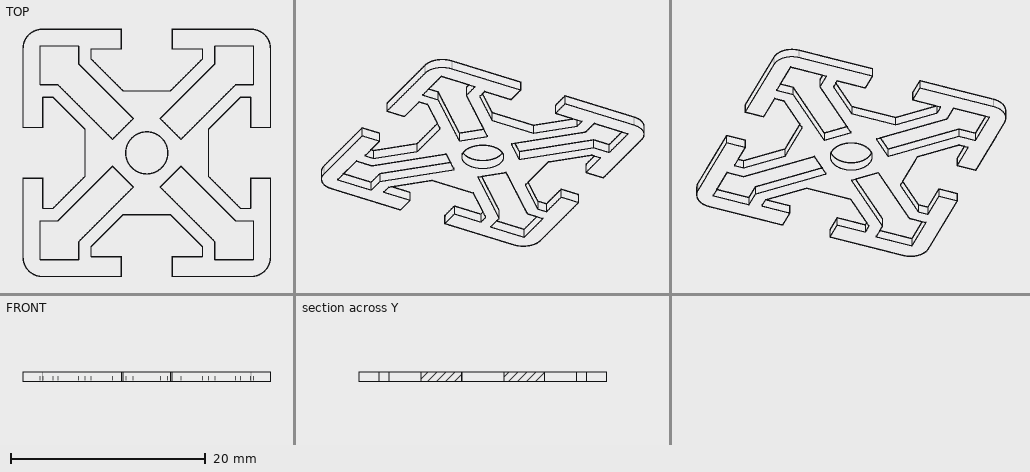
import cadquery as cq
import math

side = 25.4
thickness = 1.0
corner_radius = 2.0
bore_diameter = 4.3

slot_opening = 5.2
lip_thickness = 2.05
slot_inner_width = 11.4
core_width = 12.7

outer_wall = 1.75
hollow_side = 3.95
channel_width = 3.0
channel_end_distance = 3.47
rib_thickness = 1.28

half_side = side / 2
lip_inner_face = half_side - lip_thickness
hollow_outer = half_side - outer_wall
hollow_inner = hollow_outer - hollow_side
channel_offset = channel_width / 2 * math.sqrt(2)
rib_offset = (channel_width / 2 + rib_thickness) * math.sqrt(2)


def square_plate():
    """Solid square plate with rounded corners."""
    plate = cq.Workplane("XY").rect(side, side).extrude(thickness)
    return plate.edges("|Z").fillet(corner_radius)


def t_slot():
    """Cutter for the T-slot opening on the +Y side."""
    half_opening = slot_opening / 2
    half_inner = slot_inner_width / 2
    floor_y = core_width / 2
    half_floor = floor_y - rib_offset
    right_side = [
        (half_floor, floor_y),
        (half_inner, half_inner + rib_offset),
        (half_inner, lip_inner_face),
        (half_opening, lip_inner_face),
        (half_opening, half_side),
    ]
    left_side = [(-x, y) for x, y in reversed(right_side)]
    return cq.Workplane("XY").polyline(right_side + left_side).close().extrude(thickness)


def corner_hollow():
    """Cutter for the arrow-shaped hollow in the +X +Y corner."""
    end_sum = channel_end_distance * math.sqrt(2)
    end_near = (end_sum - channel_offset) / 2
    end_far = (end_sum + channel_offset) / 2
    outline = [
        (end_far, end_near),
        (hollow_inner + channel_offset, hollow_inner),
        (hollow_outer, hollow_inner),
        (hollow_outer, hollow_outer),
        (hollow_inner, hollow_outer),
        (hollow_inner, hollow_inner + channel_offset),
        (end_near, end_far),
    ]
    return cq.Workplane("XY").polyline(outline).close().extrude(thickness)


def centre_bore():
    """Cutter for the through hole at the centre."""
    return cq.Workplane("XY").circle(bore_diameter / 2).extrude(thickness)


def cut_four_times(body, cutter):
    """Cut the same shape at every quarter turn about the Z axis."""
    for quarter_turn in range(4):
        body = body.cut(cutter.rotate((0, 0, 0), (0, 0, 1), 90 * quarter_turn))
    return body


profile = square_plate()
profile = cut_four_times(profile, t_slot())
profile = cut_four_times(profile, corner_hollow())
result = profile.cut(centre_bore())